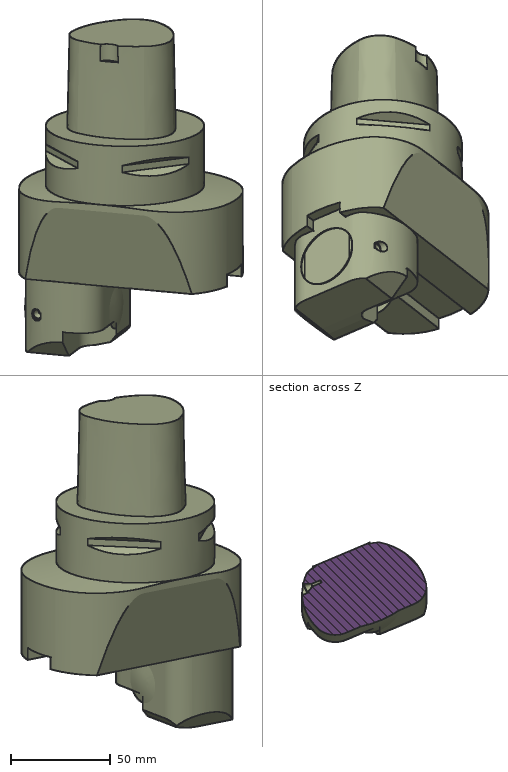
import cadquery as cq
import math

HEAD_TOP = 41.0
SLOT_HEIGHT = 6.3
SHOULDER_Z = 85.8
FLANGE_TOP = 116.8
TOTAL_HEIGHT = 165.0

SHANK_LOBE_REACH = 29.4
SHANK_FLANK_REACH = 25.4
SHANK_LOBE_RADIUS = 16.5
SHANK_LOBE_HALF_ANGLE = math.radians(36)
SHANK_INSET = 1.07

KEYWAY_RADIUS = 6.1
KEYWAY_LENGTH = 8.5
KEYWAY_BOTTOM_Y = -22.0

FLANGE_RADIUS = 80.0 / 2
GROOVE_Z = 105.0
GROOVE_FLOOR_HEIGHT = 3.5
GROOVE_DEPTH = 4.6
GROOVE_FLANK_ANGLE = math.radians(30)
GROOVE_CLEARANCE = 1.6

BLOCK_HALF_WIDTH = 80.4 / 2
BLOCK_LEFT_END = -53.1
BLOCK_RIGHT_END = 59.9
FLAT_LEFT_END = -21.3
FLAT_RIGHT_END = 23.8
LEFT_CORNER_RADIUS = 30.0
RIGHT_CORNER_RADIUS = 35.6
SHOULDER_SLOPE = 0.1
BEVEL_TOP = 82.2

SLOT_Y_MIN = -11.5
SLOT_Y_MAX = 8.7

HEAD_LEFT = -47.4
HEAD_RIGHT = -4.6
HEAD_CENTRE_X = -21.6
HEAD_RADIUS = 31.7
HEAD_LEFT_FACE_HALF = 14.0
HEAD_LEFT_JOINT_Y = 20.8
HEAD_RIGHT_JOINT_X = -13.2
HEAD_CHAMFER = 9.5
CROSS_AXIS_Z = 21.3

BOSS_RADIUS = 32.0 / 2
BOSS_HEIGHT = 0.5
DOME_RADIUS = 10.7
DOME_HEIGHT = 1.2

POCKET_LEFT = -22.3
POCKET_HEIGHT = 14.8
POCKET_CORNER_RADIUS = 6.5
POCKET_FACE_Y = 0.0

RELIEF_LEAD_START = (-16.2, 0.5)
RELIEF_LEAD_END = (-7.8, 2.8)
RELIEF_RIGHT_Z = 6.8

COOLANT_X = -38.0
COOLANT_MOUTH_RADIUS = 6.0 / 2
COOLANT_SEAT_RADIUS = 4.6 / 2
COOLANT_BORE_RADIUS = 0.7
COOLANT_MOUTH_END_Y = -24.8
COOLANT_SEAT_END_Y = -21.5
COOLANT_END_Y = -16.5


def polar(radius, angle):
    return radius * math.cos(angle), radius * math.sin(angle)


def make_shank():
    """Three-lobed tapered polygon made of tangent arcs."""
    lobe_offset = SHANK_LOBE_REACH - SHANK_LOBE_RADIUS
    joint_along = lobe_offset + SHANK_LOBE_RADIUS * math.cos(SHANK_LOBE_HALF_ANGLE)
    joint_across = SHANK_LOBE_RADIUS * math.sin(SHANK_LOBE_HALF_ANGLE)
    joint_reach = math.hypot(joint_along, joint_across)
    joint_angle = math.atan2(joint_across, joint_along)
    lobe_angle = math.radians(90)
    sector = math.radians(120)

    profile = cq.Workplane("XY").workplane(offset=FLANGE_TOP)
    profile = profile.moveTo(*polar(joint_reach, lobe_angle - joint_angle))
    for lobe in range(3):
        angle = lobe_angle + lobe * sector
        profile = profile.threePointArc(
            polar(SHANK_LOBE_REACH, angle), polar(joint_reach, angle + joint_angle)
        )
        profile = profile.threePointArc(
            polar(SHANK_FLANK_REACH, angle + sector / 2),
            polar(joint_reach, angle + sector - joint_angle),
        )
    length = TOTAL_HEIGHT - FLANGE_TOP
    taper = math.degrees(math.atan(SHANK_INSET / length))
    shank = profile.close().extrude(length, taper=taper)

    keyway = (
        cq.Workplane("XY")
        .workplane(offset=TOTAL_HEIGHT - KEYWAY_LENGTH)
        .center(0, KEYWAY_BOTTOM_Y - KEYWAY_RADIUS)
        .circle(KEYWAY_RADIUS)
        .extrude(KEYWAY_LENGTH)
    )
    return shank.cut(keyway)


def make_flange():
    """Cylinder with four trapezoidal gripper grooves at 45 degrees to the axes."""
    flange = (
        cq.Workplane("XY")
        .workplane(offset=SHOULDER_Z)
        .circle(FLANGE_RADIUS)
        .extrude(FLANGE_TOP - SHOULDER_Z)
    )
    floor_x = FLANGE_RADIUS - GROOVE_DEPTH
    outer_x = FLANGE_RADIUS + GROOVE_CLEARANCE
    floor_half = GROOVE_FLOOR_HEIGHT / 2
    outer_half = floor_half + (outer_x - floor_x) * math.tan(GROOVE_FLANK_ANGLE)
    groove = (
        cq.Workplane("XZ")
        .polyline([
            (floor_x, GROOVE_Z - floor_half),
            (outer_x, GROOVE_Z - outer_half),
            (outer_x, GROOVE_Z + outer_half),
            (floor_x, GROOVE_Z + floor_half),
        ])
        .close()
        .extrude(FLANGE_RADIUS, both=True)
    )
    for angle in (45, 135, 225, 315):
        flange = flange.cut(groove.rotate((0, 0, 0), (0, 0, 1), angle))
    return flange


def end_joint(reach, radius):
    """Where a corner arc meets the larger end arc, measured from the end of the side flat.

    reach is the distance from the end of the side flat to the tip of the block.
    """
    centre_y = BLOCK_HALF_WIDTH - radius
    end_radius = (reach**2 + centre_y**2 - radius**2) / (2 * (reach - radius))
    angle = math.asin(centre_y / (end_radius - radius))
    middle_angle = (angle + math.pi / 2) / 2
    middle_x, middle_y = polar(radius, middle_angle)
    joint_x, joint_y = polar(radius, angle)
    return (middle_x, centre_y + middle_y), (joint_x, centre_y + joint_y)


def make_block():
    """Oblong block with a conical shoulder, bevelled sides and a guide slot."""
    right_mid, right_joint = end_joint(BLOCK_RIGHT_END - FLAT_RIGHT_END, RIGHT_CORNER_RADIUS)
    left_mid, left_joint = end_joint(FLAT_LEFT_END - BLOCK_LEFT_END, LEFT_CORNER_RADIUS)
    right_mid_x = FLAT_RIGHT_END + right_mid[0]
    right_joint_x = FLAT_RIGHT_END + right_joint[0]
    left_mid_x = FLAT_LEFT_END - left_mid[0]
    left_joint_x = FLAT_LEFT_END - left_joint[0]
    block = (
        cq.Workplane("XY")
        .workplane(offset=HEAD_TOP)
        .moveTo(FLAT_LEFT_END, -BLOCK_HALF_WIDTH)
        .lineTo(FLAT_RIGHT_END, -BLOCK_HALF_WIDTH)
        .threePointArc((right_mid_x, -right_mid[1]), (right_joint_x, -right_joint[1]))
        .threePointArc((BLOCK_RIGHT_END, 0), (right_joint_x, right_joint[1]))
        .threePointArc((right_mid_x, right_mid[1]), (FLAT_RIGHT_END, BLOCK_HALF_WIDTH))
        .lineTo(FLAT_LEFT_END, BLOCK_HALF_WIDTH)
        .threePointArc((left_mid_x, left_mid[1]), (left_joint_x, left_joint[1]))
        .threePointArc((BLOCK_LEFT_END, 0), (left_joint_x, -left_joint[1]))
        .threePointArc((left_mid_x, -left_mid[1]), (FLAT_LEFT_END, -BLOCK_HALF_WIDTH))
        .close()
        .extrude(SHOULDER_Z - HEAD_TOP)
    )

    cone_radius = 2 * BLOCK_RIGHT_END
    cone_edge_z = SHOULDER_Z - SHOULDER_SLOPE * (cone_radius - FLANGE_RADIUS)
    cone_envelope = (
        cq.Workplane("XZ")
        .polyline([
            (0, 0),
            (cone_radius, 0),
            (cone_radius, cone_edge_z),
            (FLANGE_RADIUS, SHOULDER_Z),
            (0, SHOULDER_Z),
        ])
        .close()
        .revolve(360, (0, 0, 0), (0, 1, 0))
    )

    bevel_envelope = (
        cq.Workplane("YZ")
        .polyline([
            (-HEAD_RADIUS, HEAD_TOP),
            (HEAD_RADIUS, HEAD_TOP),
            (BLOCK_HALF_WIDTH, BEVEL_TOP),
            (BLOCK_HALF_WIDTH, SHOULDER_Z),
            (-BLOCK_HALF_WIDTH, SHOULDER_Z),
            (-BLOCK_HALF_WIDTH, BEVEL_TOP),
        ])
        .close()
        .extrude(2 * BLOCK_RIGHT_END, both=True)
    )
    slot = guide_bar(BLOCK_LEFT_END, BLOCK_RIGHT_END)
    return block.intersect(cone_envelope).intersect(bevel_envelope).cut(slot)


def guide_bar(x_min, x_max):
    """Rectangular bar that fills the guide slot from x_min to x_max."""
    return cq.Workplane("XY").box(
        x_max - x_min, SLOT_Y_MAX - SLOT_Y_MIN, SLOT_HEIGHT, centered=False
    ).translate((x_min, SLOT_Y_MIN, HEAD_TOP))


def make_adapter():
    return make_block().union(make_flange()).union(make_shank())


def make_head_blank():
    """Rounded column with flat left and right faces and a chamfered lower end."""
    left_joint_x = HEAD_CENTRE_X - math.sqrt(HEAD_RADIUS**2 - HEAD_LEFT_JOINT_Y**2)
    joint_run = HEAD_RIGHT_JOINT_X - HEAD_CENTRE_X
    joint_cos = joint_run / HEAD_RADIUS
    right_joint_y = math.sqrt(HEAD_RADIUS**2 - joint_run**2)
    corner_radius = (HEAD_RIGHT - HEAD_RIGHT_JOINT_X) / (1 - joint_cos)
    corner_y = right_joint_y * (1 - corner_radius / HEAD_RADIUS)

    blank = (
        cq.Workplane("XY")
        .moveTo(HEAD_LEFT, 0)
        .lineTo(HEAD_LEFT, HEAD_LEFT_FACE_HALF)
        .tangentArcPoint((left_joint_x, HEAD_LEFT_JOINT_Y), relative=False)
        .threePointArc((HEAD_CENTRE_X, HEAD_RADIUS), (HEAD_RIGHT_JOINT_X, right_joint_y))
        .tangentArcPoint((HEAD_RIGHT, corner_y), relative=False)
        .lineTo(HEAD_RIGHT, 0)
        .mirrorX()
        .extrude(HEAD_TOP)
    )
    bottom_half = HEAD_RADIUS - HEAD_CHAMFER
    chamfer_envelope = (
        cq.Workplane("YZ")
        .workplane(offset=HEAD_LEFT)
        .polyline([
            (-bottom_half, 0),
            (bottom_half, 0),
            (HEAD_RADIUS, HEAD_CHAMFER),
            (HEAD_RADIUS, HEAD_TOP),
            (-HEAD_RADIUS, HEAD_TOP),
            (-HEAD_RADIUS, HEAD_CHAMFER),
        ])
        .close()
        .extrude(HEAD_RIGHT - HEAD_LEFT)
    )
    return blank.intersect(chamfer_envelope)


def make_bosses():
    """Flat round boss on the left face and shallow dome on the right face."""
    boss = (
        cq.Workplane("YZ")
        .workplane(offset=HEAD_LEFT)
        .center(0, CROSS_AXIS_Z)
        .circle(BOSS_RADIUS)
        .extrude(-BOSS_HEIGHT)
    )
    sphere_radius = (DOME_RADIUS**2 + DOME_HEIGHT**2) / (2 * DOME_HEIGHT)
    tip_x = HEAD_RIGHT + DOME_HEIGHT
    half_angle = math.asin(DOME_RADIUS / sphere_radius) / 2
    middle_x, middle_r = polar(sphere_radius, half_angle)
    dome = (
        cq.Workplane("XY")
        .moveTo(HEAD_RIGHT, 0)
        .lineTo(HEAD_RIGHT, DOME_RADIUS)
        .threePointArc((tip_x - sphere_radius + middle_x, middle_r), (tip_x, 0))
        .close()
        .revolve(360, (0, 0, 0), (1, 0, 0))
        .translate((0, 0, CROSS_AXIS_Z))
    )
    return boss, dome


def make_insert_pocket():
    pocket = cq.Workplane("XY").box(
        HEAD_RIGHT - POCKET_LEFT, POCKET_FACE_Y + HEAD_RADIUS, POCKET_HEIGHT, centered=False
    ).translate((POCKET_LEFT, -HEAD_RADIUS, 0))
    return pocket.edges("|Z and <X and >Y").fillet(POCKET_CORNER_RADIUS)


def make_tip_relief():
    """Material removed below the cutting corner."""
    return (
        cq.Workplane("XZ")
        .polyline([
            (POCKET_LEFT, 0),
            RELIEF_LEAD_START,
            RELIEF_LEAD_END,
            (HEAD_RIGHT, RELIEF_RIGHT_Z),
            (HEAD_RIGHT, 0),
        ])
        .close()
        .extrude(HEAD_RADIUS, both=True)
    )


def make_coolant_hole():
    """Round mouth, then a conical seat that narrows to a fine bore."""
    return (
        cq.Workplane("XY")
        .polyline([
            (0, -HEAD_RADIUS),
            (COOLANT_MOUTH_RADIUS, -HEAD_RADIUS),
            (COOLANT_MOUTH_RADIUS, COOLANT_MOUTH_END_Y),
            (COOLANT_SEAT_RADIUS, COOLANT_MOUTH_END_Y),
            (COOLANT_BORE_RADIUS, COOLANT_SEAT_END_Y),
            (COOLANT_BORE_RADIUS, COOLANT_END_Y),
            (0, COOLANT_END_Y),
        ])
        .close()
        .revolve(360, (0, 0, 0), (0, 1, 0))
        .translate((COOLANT_X, 0, CROSS_AXIS_Z))
    )


def make_head():
    head = make_head_blank()
    for boss in make_bosses():
        head = head.union(boss)
    head = head.cut(make_insert_pocket()).cut(make_tip_relief()).cut(make_coolant_hole())
    return head.union(guide_bar(HEAD_LEFT, HEAD_RIGHT))


adapter = make_adapter()
head = make_head()
result = cq.Compound.makeCompound([adapter.val(), head.val()])